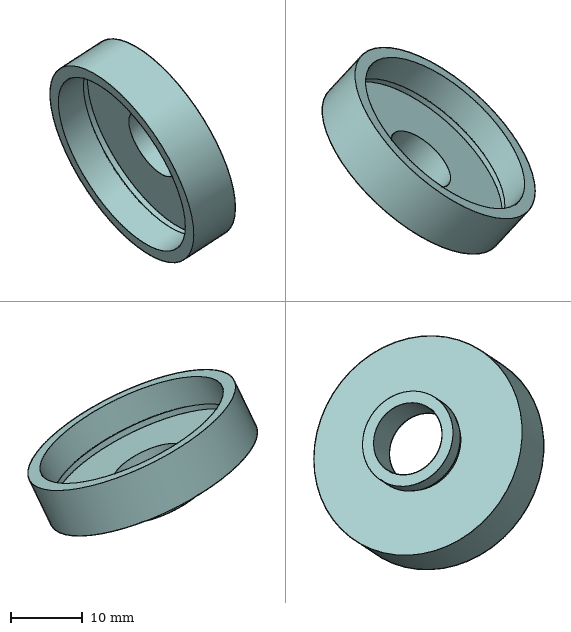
import cadquery as cq

disc_diameter = 31.75
disc_thickness = 7.5
recess_diameter = 28.0
recess_depth = 5.5
undercut_diameter = 28.58
undercut_width = 1.0
neck_diameter = 13.08
neck_length = 1.02
head_diameter = 13.78
head_length = 2.48
bore_diameter = 10.4

total_length = disc_thickness + neck_length + head_length
front_y = -total_length / 2
neck_y = front_y + disc_thickness
head_y = neck_y + neck_length
recess_floor_y = front_y + recess_depth


def cylinder(diameter, start_y, length):
    """Solid cylinder on the Y axis, running toward +Y from start_y."""
    plane = cq.Workplane("XZ", origin=(0, start_y, 0))
    return plane.circle(diameter / 2).extrude(-length)


disc = cylinder(disc_diameter, front_y, disc_thickness)
neck = cylinder(neck_diameter, neck_y, neck_length)
head = cylinder(head_diameter, head_y, head_length)
body = disc.union(neck).union(head)

recess = cylinder(recess_diameter, front_y, recess_depth)
undercut = cylinder(undercut_diameter, recess_floor_y - undercut_width, undercut_width)

bore = cylinder(bore_diameter, front_y, total_length)

result = body.cut(recess).cut(undercut).cut(bore)